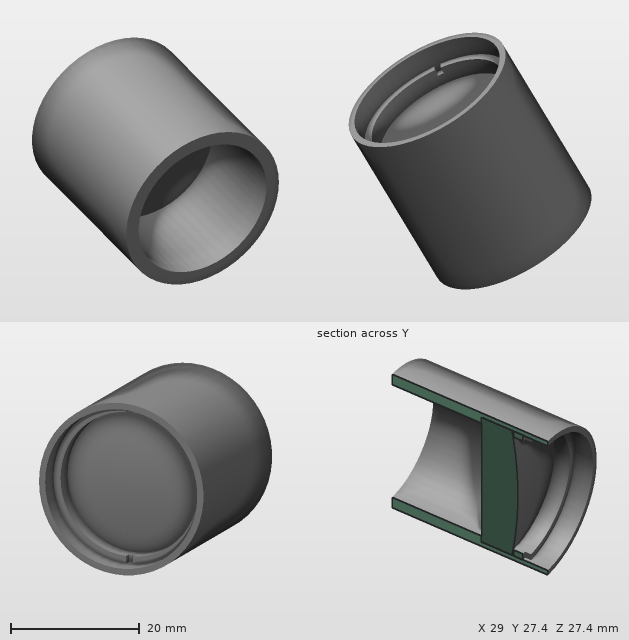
import cadquery as cq
import math

housing_length = 29.0
housing_diameter = 27.45
bore_diameter = 25.4
aperture_diameter = 23.0

ring_recess = 3.5
ring_length = 2.9
slot_width = 1.1
slot_depth = 1.1

shoulder_distance = 6.0
lens_sphere_radius = 75.0

ring_back = ring_recess + ring_length
shoulder_position = ring_back + shoulder_distance


def cylinder(start, length, diameter):
    """Cylinder on the X axis, running from X = start."""
    return cq.Workplane("YZ", origin=(start, 0, 0)).circle(diameter / 2).extrude(length)


def make_housing():
    """Tube with a deep bore for the lens and a smaller aperture through the rear."""
    body = cylinder(0, housing_length, housing_diameter)
    bore = cylinder(0, shoulder_position, bore_diameter)
    aperture = cylinder(0, housing_length, aperture_diameter)
    return body.cut(bore).cut(aperture)


def make_retaining_ring():
    """Ring with one spanner slot across its front face, cutting the rim at top and bottom."""
    ring = cylinder(ring_recess, ring_length, bore_diameter)
    ring = ring.cut(cylinder(ring_recess, ring_length, aperture_diameter))
    slot = cq.Workplane("XY", origin=(ring_recess, 0, 0)).box(
        slot_depth, slot_width, bore_diameter, centered=(False, True, True)
    )
    return ring.cut(slot)


def make_lens():
    """Plano-convex lens: its dome touches the inner edge of the ring, its back is flat."""
    rim_radius = bore_diameter / 2
    middle_radius = rim_radius / 2
    contact_radius = aperture_diameter / 2
    sphere_center = ring_back + math.sqrt(lens_sphere_radius**2 - contact_radius**2)

    def dome_position(radius):
        """X of the dome surface at a distance from the axis."""
        return sphere_center - math.sqrt(lens_sphere_radius**2 - radius**2)

    half_section = (
        cq.Workplane("XY")
        .moveTo(dome_position(0), 0)
        .threePointArc((dome_position(middle_radius), middle_radius), (dome_position(rim_radius), rim_radius))
        .lineTo(shoulder_position, rim_radius)
        .lineTo(shoulder_position, 0)
        .close()
    )
    return half_section.revolve(360, (0, 0, 0), (1, 0, 0))


housing = make_housing()
retaining_ring = make_retaining_ring()
lens = make_lens()

result = cq.Compound.makeCompound([housing.val(), retaining_ring.val(), lens.val()])